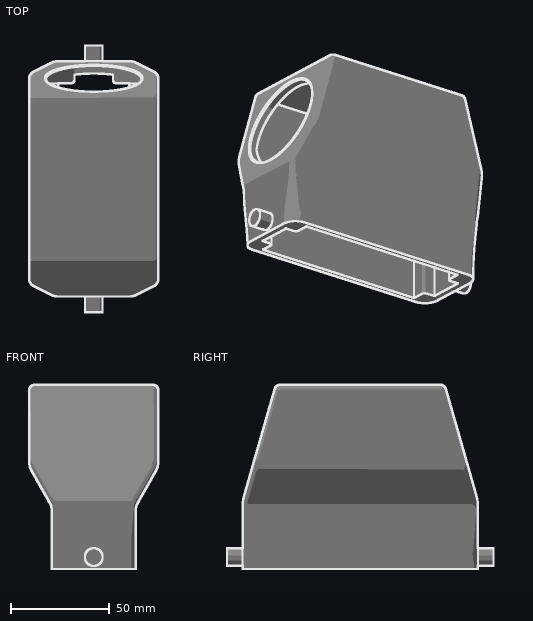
import cadquery as cq
import math

overall_length = 136.0
height = 94.0
head_width = 66.0
neck_width = 43.0
body_length = 120.0
roof_length = 86.1

neck_bend_z = 32.0
head_bend_z = 52.2
end_bend_z = 34.8
neck_bend_radius = 6.8
head_bend_radius = 9.8
end_bend_radius = 15.0

edge_radius = 3.0
foot_corner_radius = 7.5
foot_section_count = 5

side_wall = 3.4
end_wall = 4.6
roof_wall = 3.4

post_gap = 19.6
post_spacing = 97.4
post_corner_radius = 1.6

entry_diameter = 48.7
entry_chamfer = 0.5
entry_depth = 20.4
entry_z = 65.0

pin_diameter = 9.1
pin_z = 6.1

flare_angle = math.atan2((head_width - neck_width) / 2, head_bend_z - neck_bend_z)
end_slope = (body_length - roof_length) / 2 / (height - end_bend_z)
end_angle = math.atan(end_slope)
bend_search = edge_radius
foot_height = neck_bend_z - neck_bend_radius * math.tan(flare_angle / 2)


def mirrored_outline(plane, half_outline):
    """Closed outline from its positive half, mirrored about the vertical axis."""
    other_half = [(-u, z) for u, z in reversed(half_outline)]
    return cq.Workplane(plane).polyline(half_outline + other_half).close()


def round_bend(solid, axis, bend_z, radius):
    """Round the edges that run along an axis at the height of a bend."""
    low = (-overall_length, -overall_length, bend_z - bend_search)
    high = (overall_length, overall_length, bend_z + bend_search)
    return solid.edges(axis).edges(cq.selectors.BoxSelector(low, high)).fillet(radius)


def hood_form(side_inset, end_inset, roof_inset):
    """Flared side outline crossed with the tapered end outline, moved inward by the insets."""
    top = height - roof_inset
    bend_rise = side_inset * math.tan(flare_angle / 2)
    neck_z = neck_bend_z + bend_rise
    head_z = head_bend_z + bend_rise
    neck_half = neck_width / 2 - side_inset
    head_half = head_width / 2 - side_inset
    flared = mirrored_outline("XZ", [
        (neck_half, 0),
        (neck_half, neck_z),
        (head_half, head_z),
        (head_half, top),
    ]).extrude(overall_length / 2, both=True)
    flared = round_bend(flared, "|Y", neck_z, neck_bend_radius + side_inset)
    flared = round_bend(flared, "|Y", head_z, head_bend_radius - side_inset)

    end_z = end_bend_z - end_inset * math.tan(end_angle / 2)
    foot_half = body_length / 2 - end_inset
    roof_half = foot_half - (top - end_z) * end_slope
    tapered = mirrored_outline("YZ", [
        (foot_half, 0),
        (foot_half, end_z),
        (roof_half, top),
    ]).extrude(head_width, both=True)
    tapered = round_bend(tapered, "|X", end_z, end_bend_radius - end_inset)
    return flared.intersect(tapered)


def rounded_foot():
    """Lower block whose corner radius grows from edge_radius down to foot_corner_radius.

    At the +Y end the growth levels off at both heights; at the -Y end it only levels off at the bottom.
    """
    sections = []
    for index in range(foot_section_count):
        rise = index / (foot_section_count - 1)
        radius_change = edge_radius - foot_corner_radius
        back_radius = foot_corner_radius + radius_change * rise ** 2 * (3 - 2 * rise)
        front_radius = foot_corner_radius + radius_change * rise ** 2
        outline = (
            cq.Sketch()
            .rect(neck_width, body_length)
            .vertices(">Y")
            .fillet(back_radius)
            .reset()
            .vertices("<Y")
            .fillet(front_radius)
        )
        sections.append(outline.moved(cq.Location(cq.Vector(0, 0, rise * foot_height))))
    return cq.Workplane("XY").placeSketch(*sections).loft()


def outer_body():
    """Rounded hood standing on the foot."""
    below = cq.Workplane("XY").box(head_width, overall_length, foot_height, centered=(True, True, False))
    upper = hood_form(0, 0, 0).cut(below)
    corner_edges = upper.edges("not(|X or |Y)")
    roof_edges = upper.faces(">Z").edges()
    upper = corner_edges.add(roof_edges).fillet(edge_radius)
    return upper.union(rounded_foot())


def cavity():
    """Inner space, open at the bottom, with a post left standing in each corner."""
    space = hood_form(side_wall, end_wall, roof_wall)
    post_width = (head_width - post_gap) / 2
    post_length = (body_length - post_spacing) / 2
    for x_side in (-1, 1):
        for y_side in (-1, 1):
            post = (
                cq.Workplane("XY")
                .center(x_side * (post_gap + post_width) / 2, y_side * (post_spacing + post_length) / 2)
                .rect(post_width, post_length)
                .extrude(height)
                .edges("|Z")
                .fillet(post_corner_radius)
            )
            space = space.cut(post)
    return space


def cable_entry():
    """Round hole with a chamfered rim, square to the sloping +Y end."""
    face_y = body_length / 2 - (entry_z - end_bend_z) * end_slope
    inward = cq.Vector(0, -math.cos(end_angle), -math.sin(end_angle))
    rim_centre = cq.Vector(0, face_y, entry_z)
    hole_radius = entry_diameter / 2
    hole = cq.Solid.makeCylinder(hole_radius, entry_depth, rim_centre, inward)
    rim = cq.Solid.makeCone(hole_radius + entry_chamfer, hole_radius, entry_chamfer, rim_centre, inward)
    return hole.fuse(rim)


def locking_pin(side):
    """Pin standing out from one end wall."""
    root = body_length / 2 - end_wall / 2
    length = overall_length / 2 - root
    start = cq.Vector(0, side * root, pin_z)
    return cq.Solid.makeCylinder(pin_diameter / 2, length, start, cq.Vector(0, side, 0))


result = outer_body().cut(cavity()).cut(cable_entry())
for side in (-1, 1):
    result = result.union(locking_pin(side))